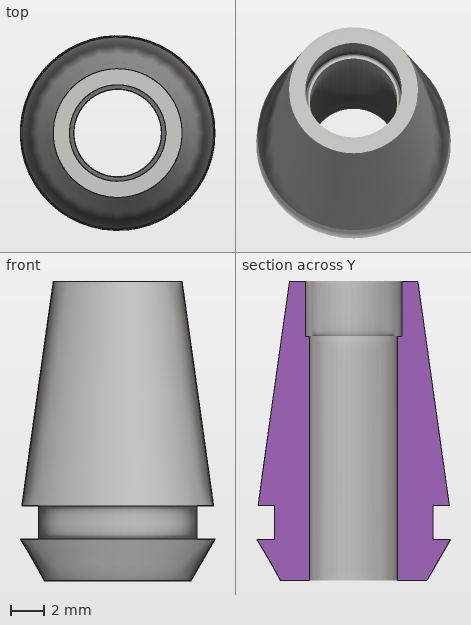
import cadquery as cq
import math

total_height = 18.0
flange_height = 2.5
groove_height = 2.0

flange_radius = 5.85
neck_radius = 4.77
nose_radius = 3.87
body_half_angle = 8.0
flange_half_angle = 30.0

bore_radius = 2.63
counterbore_radius = 2.9
counterbore_depth = 3.3

body_base_z = flange_height + groove_height
body_height = total_height - body_base_z
body_base_radius = nose_radius + body_height * math.tan(math.radians(body_half_angle))
base_radius = flange_radius - flange_height * math.tan(math.radians(flange_half_angle))
counterbore_floor_z = total_height - counterbore_depth

section = [
    (bore_radius, 0),
    (base_radius, 0),
    (flange_radius, flange_height),
    (neck_radius, flange_height),
    (neck_radius, body_base_z),
    (body_base_radius, body_base_z),
    (nose_radius, total_height),
    (counterbore_radius, total_height),
    (counterbore_radius, counterbore_floor_z),
    (bore_radius, counterbore_floor_z),
]

result = cq.Workplane("XZ").polyline(section).close().revolve(360, (0, 0), (0, 1))